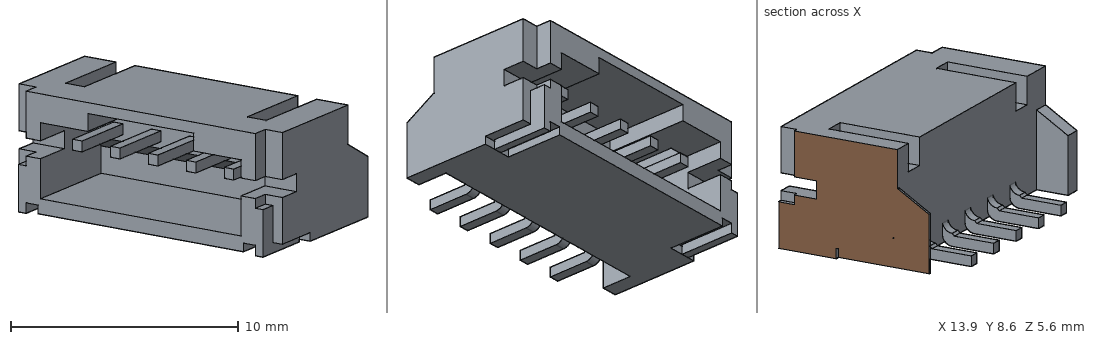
import cadquery as cq

width = 13.9
half_width = width / 2
top_z = 5.6
bottom_z = 0.08
roof_depth = 6.02
arm_depth = 7.6
arm_width = 0.8
arm_slope_low_z = 2.86
arm_slope_high_z = 3.8

cavity_half_width = 5.3
cavity_floor_z = 0.79
cavity_roof_z = 4.28
cavity_depth = 4.25
undercut_top_z = 2.63
undercut_size = 0.58
key_half_width = 2.8
key_top_z = 5.1

slot_width = 1.0
slot_front_y = 2.0
side_slot_depth = 1.9
side_slot_bottom_z = undercut_top_z
side_slot_top_z = 3.45
corner_depth = 0.79
corner_inner_x = 6.05
foot_recess_inner_x = 5.42
foot_recess_depth = 3.0
foot_recess_top_z = 0.49

tab_thickness = 0.4
tab_top_z = 2.18
tab_depth = 2.9

pin_count = 5
pin_pitch = 2.0
pin_size = 0.5
contact_top_z = side_slot_top_z
pin_tip_y = 0.99
pin_end_y = 8.6
foot_front_y = 6.62
foot_step = 0.11
bend_radius = 0.5


def block(x_range, y_range, z_range):
    """Box spanning the given ranges along X, Y and Z."""
    x0, x1 = x_range
    y0, y1 = y_range
    z0, z1 = z_range
    return cq.Workplane("XY").box(x1 - x0, y1 - y0, z1 - z0, centered=False).translate((x0, y0, z0))


def both_sides(shape):
    """The shape joined with its mirror image across the YZ plane."""
    return shape.union(shape.mirror("YZ"))


def extruded_side(outline, start_x, length):
    """Closed outline of (Y, Z) corners, extruded along +X from start_x."""
    return cq.Workplane("YZ", origin=(start_x, 0, 0)).polyline(outline).close().extrude(length)


def housing():
    """Solid block with a sloped arm at each rear corner."""
    body = block((-half_width, half_width), (0, roof_depth), (bottom_z, top_z))
    arm_outline = [
        (roof_depth, bottom_z),
        (arm_depth, bottom_z),
        (arm_depth, arm_slope_low_z),
        (roof_depth, arm_slope_high_z),
    ]
    arm = extruded_side(arm_outline, half_width - arm_width, arm_width)
    return body.union(both_sides(arm))


def cavity():
    """Main opening with the undercut in its rear wall, and the raised keyway in its roof."""
    undercut_y = cavity_depth + undercut_size
    outline = [
        (0, cavity_floor_z),
        (undercut_y, cavity_floor_z),
        (undercut_y, undercut_top_z - undercut_size),
        (cavity_depth, undercut_top_z),
        (cavity_depth, cavity_roof_z),
        (0, cavity_roof_z),
    ]
    main = extruded_side(outline, -cavity_half_width, 2 * cavity_half_width)
    key = block((-key_half_width, key_half_width), (0, cavity_depth), (cavity_roof_z, key_top_z))
    return main.union(key)


def outer_cuts():
    """Roof slots, side slots, front corner notches and the recesses for the tab feet."""
    roof_slot = block(
        (cavity_half_width - slot_width, cavity_half_width),
        (slot_front_y, roof_depth),
        (cavity_roof_z, top_z),
    )
    side_slot = block(
        (cavity_half_width, half_width),
        (0, side_slot_depth),
        (side_slot_bottom_z, side_slot_top_z),
    )
    corner = block((corner_inner_x, half_width), (0, corner_depth), (bottom_z, top_z))
    foot_recess = block(
        (foot_recess_inner_x, half_width),
        (0, foot_recess_depth),
        (bottom_z, foot_recess_top_z),
    )
    return both_sides(roof_slot.union(side_slot).union(corner).union(foot_recess))


def solder_tabs():
    """L-shaped plates standing in the corner notches, with feet along the recesses."""
    outline = [
        (0, 0),
        (tab_depth, 0),
        (tab_depth, foot_recess_top_z),
        (corner_depth, foot_recess_top_z),
        (corner_depth, tab_top_z),
        (0, tab_top_z),
    ]
    tab = extruded_side(outline, corner_inner_x, tab_thickness)
    return both_sides(tab)


def pin(center_x):
    """Straight contact in the cavity, and a foot whose bend runs into the rear of the housing."""
    left_x = center_x - pin_size / 2
    contact = block(
        (left_x, left_x + pin_size),
        (pin_tip_y, roof_depth),
        (contact_top_z - pin_size, contact_top_z),
    )
    bend_y = foot_front_y - foot_step
    bend_z = pin_size + foot_step
    riser_y = bend_y - bend_radius
    foot = (
        cq.Workplane("YZ", origin=(left_x, 0, 0))
        .moveTo(pin_end_y, 0)
        .lineTo(pin_end_y, pin_size)
        .lineTo(foot_front_y, pin_size)
        .lineTo(bend_y, bend_z)
        .radiusArc((riser_y, bend_z + bend_radius), bend_radius)
        .lineTo(riser_y - pin_size, bend_z + bend_radius)
        .lineTo(riser_y - pin_size, bend_radius)
        .lineTo(riser_y, bend_radius)
        .radiusArc((bend_y, 0), -bend_radius)
        .close()
        .extrude(pin_size)
    )
    return contact.union(foot)


result = housing().cut(cavity()).cut(outer_cuts()).union(solder_tabs())
for index in range(pin_count):
    result = result.union(pin((index - (pin_count - 1) / 2) * pin_pitch))